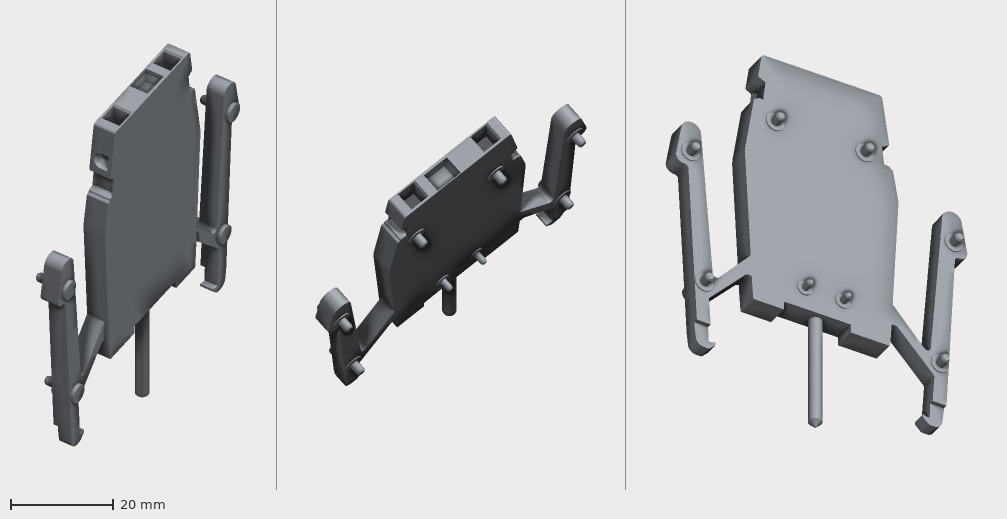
import cadquery as cq
import math

HOUSING_THICK = 4.0
TOTAL_THICK = 4.95
PIN_REACH = 2.7

TOP_Z = 83.95
FOOT_Z = 24.0
FOOT_GAP_Z = 25.9

FRONT_NOTCH_FLOOR = [(-14.0, 71.8), (-14.5, 67.6)]
BACK_NOTCH_FLOOR = [(13.6, 73.2), (13.1, 77.65)]
NOTCH_RECESS_X = (-0.3, 4.7)
NOTCH_RECESS_FLOOR_X = (0.5, 4.1)
NOTCH_RECESS_DEPTH = 0.8

BLOCK_OUTLINE = [
    (13.6, TOP_Z, 0.7),
    (14.4, 78.3, 0.25),
    (*BACK_NOTCH_FLOOR[1], 0),
    (*BACK_NOTCH_FLOOR[0], 0),
    (14.5, 73.1, 0),
    (14.7, 72.8, 0),
    (15.4, 72.6, 0.25),
    (17.5, 59.5, 8.4),
    (16.1, 34.3, 0),
    (15.9, 28.8, 0),
    (15.5, FOOT_Z, 0.3),
    (8.6, FOOT_Z, 0),
    (8.6, FOOT_GAP_Z, 0.25),
    (-6.6, FOOT_GAP_Z, 0),
    (-6.6, FOOT_Z, 0),
    (-15.5, FOOT_Z, 0.3),
    (-15.9, 28.8, 0),
    (-16.1, 34.3, 0),
    (-17.5, 59.5, 8.4),
    (-16.2, 66.7, 0.25),
    (-15.6, 67.1, 0),
    (-15.45, 67.4, 0),
    (*FRONT_NOTCH_FLOOR[1], 0),
    (*FRONT_NOTCH_FLOOR[0], 0),
    (-15.4, 72.7, 0.25),
    (-13.7, TOP_Z, 0.7),
]

ARM_OUTLINE = [
    (14.3, 36.2, 0),
    (16.1, 34.3, 0),
    (24.6, 24.9, 0.8),
    (27.5, 61.7, 2.2),
    (31.5, 61.7, 2.2),
    (33.4, 51.0, 1.8),
    (30.3, 51.0, 0.9),
    (28.3, 13.3, 0),
    (27.8, 9.1, 1.85),
    (24.9, 9.1, 1.0),
    (23.5, 10.5, 0.2),
    (23.5, 11.25, 0.2),
    (24.3, 10.8, 0),
    (25.1, 10.8, 0),
    (25.2, 14.3, 0),
    (25.6, 20.5, 0.5),
    (17.0, 29.5, 1.1),
    (15.9, 29.5, 0.5),
    (15.7, 26.45, 0),
    (14.3, 26.45, 0),
]
HOOK_TOP_Z = 14.3
HOOK_INSET = 1.0
ARM_SPAN = 66.1

BLOCK_UPPER_PINS = [(10.7, 68.6), (-9.65, 68.6)]
BLOCK_LOWER_PINS = [(3.95, 30.8), (-4.7, 30.8)]
ARM_PINS = [(side * y, z) for side in (1, -1) for y, z in ((29.9, 54.2), (26.8, 23.75))]
LARGE_PIN_RADIUS = 0.965
LARGE_COLLAR_RADIUS = 2.0
SMALL_PIN_RADIUS = 0.71
SMALL_COLLAR_RADIUS = 1.6
COLLAR_HEIGHT = 0.25
PIN_CHAMFER_LENGTH = 0.4
PIN_CHAMFER_INSET = 0.25

WIRE_ENTRY_YS = [9.3, -9.2]
WIRE_ENTRY_LENGTH = 4.7
WIRE_ENTRY_X = (0.5, 4.6)
WIRE_ENTRY_DEPTH = 6.7
WIRE_ENTRY_LEAD_IN = 0.4

LABEL_Y = (-0.9, 4.95)
LABEL_FLOOR_Y = (0.1, 3.95)
LABEL_X = (0.2, 4.4)
LABEL_FLOOR_X = (0.75, HOUSING_THICK)
LABEL_WALL_DEPTH = 1.3
LABEL_FUNNEL_DEPTH = 1.3

SLOT_Z = 76.0
SLOT_RADIUS = 1.8
SLOT_START_X = 0.75
SLOT_BOTTOM_Y = -12.6

PROBE_RADIUS = 1.4
PROBE_X = 2.5
OVERSHOOT = 4.2


def rounded_prism(outline, x_start, x_end):
    """Extrude a YZ outline along X, rounding each corner with its own radius."""
    path = None
    for i, (y, z, radius) in enumerate(outline):
        corner = cq.Vector(y, z)
        back = cq.Vector(*outline[i - 1][:2]) - corner
        ahead = cq.Vector(*outline[(i + 1) % len(outline)][:2]) - corner
        half_angle = back.getAngle(ahead) / 2
        setback = radius / math.tan(half_angle)
        bisector = (back.normalized() + ahead.normalized()).normalized()
        arc_start = corner + back.normalized() * setback
        arc_middle = corner + bisector * (radius / math.sin(half_angle) - radius)
        arc_end = corner + ahead.normalized() * setback
        if path is None:
            path = cq.Workplane("YZ", origin=(x_start, 0, 0)).moveTo(arc_start.x, arc_start.y)
        else:
            path = path.lineTo(arc_start.x, arc_start.y)
        if radius > 0:
            path = path.threePointArc((arc_middle.x, arc_middle.y), (arc_end.x, arc_end.y))
    return path.close().extrude(x_end - x_start)


def cylinder_along_x(y, z, radius, x_start, x_end):
    return cq.Workplane("YZ", origin=(x_start, y, z)).circle(radius).extrude(x_end - x_start)


def funnel(x_range, y_range, floor_x_range, floor_y_range, mouth_z, depth):
    """Cavity whose rectangular mouth narrows downwards to a rectangular floor."""
    def rectangle(x_span, y_span, z):
        corners = [(x_span[i], y_span[j], z) for i, j in ((0, 0), (1, 0), (1, 1), (0, 1))]
        return cq.Wire.makePolygon([cq.Vector(*c) for c in corners], close=True)

    mouth = rectangle(x_range, y_range, mouth_z)
    floor = rectangle(floor_x_range, floor_y_range, mouth_z - depth)
    return cq.Workplane(cq.Solid.makeLoft([mouth, floor], True))


def top_recesses():
    """Two wire entries and the label recess between them, shared by housing and cover."""
    funnel_z = TOP_Z - LABEL_WALL_DEPTH
    label_well = funnel(LABEL_X, LABEL_Y, LABEL_X, LABEL_Y, TOP_Z, LABEL_WALL_DEPTH)
    label_funnel = funnel(LABEL_X, LABEL_Y, LABEL_FLOOR_X, LABEL_FLOOR_Y, funnel_z, LABEL_FUNNEL_DEPTH)
    recesses = label_well.union(label_funnel)
    well_half = WIRE_ENTRY_LENGTH / 2 - WIRE_ENTRY_LEAD_IN
    well_z = TOP_Z - WIRE_ENTRY_LEAD_IN
    well_depth = WIRE_ENTRY_DEPTH - WIRE_ENTRY_LEAD_IN
    for y in WIRE_ENTRY_YS:
        mouth_y = (y - WIRE_ENTRY_LENGTH / 2, y + WIRE_ENTRY_LENGTH / 2)
        well_y = (y - well_half, y + well_half)
        lead_in = funnel(WIRE_ENTRY_X, mouth_y, WIRE_ENTRY_X, well_y, TOP_Z, WIRE_ENTRY_LEAD_IN)
        well = funnel(WIRE_ENTRY_X, well_y, WIRE_ENTRY_X, well_y, well_z, well_depth)
        recesses = recesses.union(lead_in).union(well)
    return recesses


def notch_recess(floor_start, floor_end):
    """Trough with sloping sides sunk into a notch floor; the outside lies to the left of start-to-end."""
    start = cq.Vector(0, *floor_start)
    along = cq.Vector(0, *floor_end) - start
    plane = cq.Plane(origin=start, xDir=(1, 0, 0), normal=along)
    return (
        cq.Workplane(plane)
        .moveTo(NOTCH_RECESS_X[0], 0)
        .lineTo(NOTCH_RECESS_X[1], 0)
        .lineTo(NOTCH_RECESS_FLOOR_X[1], -NOTCH_RECESS_DEPTH)
        .lineTo(NOTCH_RECESS_FLOOR_X[0], -NOTCH_RECESS_DEPTH)
        .close()
        .extrude(along.Length)
    )


def cut_recesses(body):
    """Cut the recesses that housing and cover share."""
    for floor in (FRONT_NOTCH_FLOOR, BACK_NOTCH_FLOOR):
        body = body.cut(notch_recess(*floor))
    return body.cut(top_recesses())


def snap_pin(y, z, pin_radius, collar_radius):
    collar = cylinder_along_x(y, z, collar_radius, -COLLAR_HEIGHT, 0)
    pin = cylinder_along_x(y, z, pin_radius, -PIN_REACH, 0)
    pin = pin.faces("<X").chamfer(PIN_CHAMFER_LENGTH, PIN_CHAMFER_INSET)
    return collar.union(pin)


def latch_arm():
    """Arm on the +Y side with its thinner hook."""
    arm = rounded_prism(ARM_OUTLINE, 0, HOUSING_THICK)
    hook_relief = cq.Workplane("XY").box(HOOK_INSET, ARM_SPAN, HOOK_TOP_Z, centered=(False, True, False))
    return arm.cut(hook_relief)


def test_slot():
    """Slot in the -Y flank, round on one side and open towards the cover."""
    centre_x = SLOT_START_X + SLOT_RADIUS
    return (
        cq.Workplane("XZ", origin=(0, SLOT_BOTTOM_Y, 0))
        .moveTo(HOUSING_THICK, SLOT_Z + SLOT_RADIUS)
        .lineTo(centre_x, SLOT_Z + SLOT_RADIUS)
        .threePointArc((SLOT_START_X, SLOT_Z), (centre_x, SLOT_Z - SLOT_RADIUS))
        .lineTo(HOUSING_THICK, SLOT_Z - SLOT_RADIUS)
        .close()
        .extrude(OVERSHOOT)
    )


def make_housing():
    housing = rounded_prism(BLOCK_OUTLINE, 0, HOUSING_THICK)
    arm = latch_arm()
    housing = housing.union(arm).union(arm.mirror("XZ"))
    housing = cut_recesses(housing).cut(test_slot())
    for y, z in BLOCK_UPPER_PINS + ARM_PINS:
        housing = housing.union(snap_pin(y, z, LARGE_PIN_RADIUS, LARGE_COLLAR_RADIUS))
    for y, z in BLOCK_LOWER_PINS:
        housing = housing.union(snap_pin(y, z, SMALL_PIN_RADIUS, SMALL_COLLAR_RADIUS))
    for y, z in ARM_PINS:
        housing = housing.union(cylinder_along_x(y, z, LARGE_COLLAR_RADIUS, HOUSING_THICK, TOTAL_THICK))
    return housing


def make_cover():
    cover = rounded_prism(BLOCK_OUTLINE, HOUSING_THICK, TOTAL_THICK)
    return cut_recesses(cover)


def make_probe():
    return (
        cq.Workplane("XZ", origin=(PROBE_X, 0, 0))
        .polyline([(0, 0), (PROBE_RADIUS, PROBE_RADIUS), (PROBE_RADIUS, FOOT_GAP_Z), (0, FOOT_GAP_Z)])
        .close()
        .revolve(360, (0, 0, 0), (0, 1, 0))
    )


housing = make_housing()
cover = make_cover()
probe = make_probe()

result = cq.Compound.makeCompound([housing.val(), cover.val(), probe.val()])